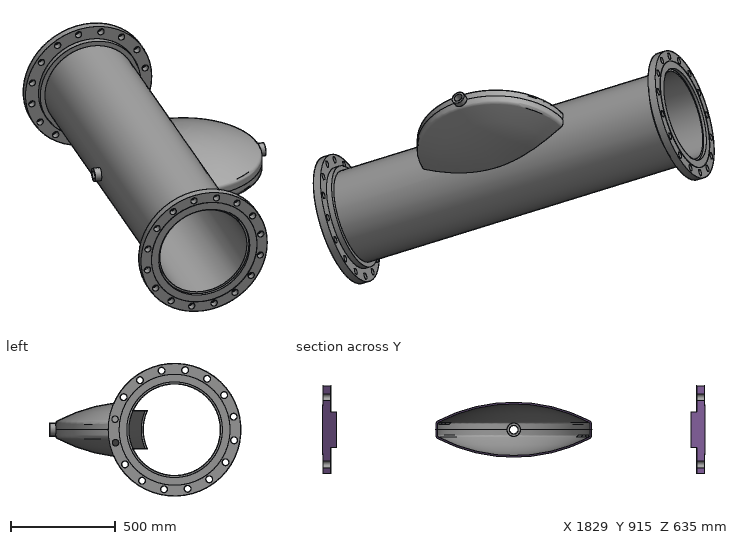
import cadquery as cq
import math

overall_length = 1829.0
overall_depth = 915.0
pipe_radius = 229.0
wall = 10.0
pipe_inset = 15.0

flange_diameter = 635.0
flange_thickness = 40.0
raised_face_radius = 265.0
raised_face_height = 2.0
hub_radius = 252.0
hub_end = 68.0
bolt_count = 16
bolt_circle_radius = 289.0
bolt_hole_radius = 15.5
bolt_pattern_turn = 1.2

chamber_y = 192.0
chamber_radius = 377.0
skirt_height = 25.0
knuckle_radius = 20.0
crown_radius = 786.0

deflector_length = 399.0
deflector_width = 183.0
deflector_tilt = 10.0

socket_diameter = 64.0
socket_bore_radius = 20.0
pipe_socket_tip = 260.0

flange_radius = flange_diameter / 2
socket_radius = socket_diameter / 2
chamber_socket_tip = overall_depth - flange_radius
pipe_bore_radius = pipe_radius - wall
half_length = overall_length / 2


def x_cylinder(radius, start, end):
    """Cylinder about the X axis between two X positions."""
    return cq.Workplane("YZ", origin=(start, 0, 0)).circle(radius).extrude(end - start)


def y_cylinder(radius, start, end):
    """Cylinder about the Y axis between two Y positions."""
    return cq.Workplane("XZ", origin=(0, start, 0)).circle(radius).extrude(start - end)


def make_flange():
    """Flange at the -X end, with its raised face outward and its hub inward."""
    face = -half_length
    disc_front = face + raised_face_height
    flange = x_cylinder(flange_radius, disc_front, face + flange_thickness)
    flange = flange.union(x_cylinder(raised_face_radius, face, disc_front))
    flange = flange.union(x_cylinder(hub_radius, face + flange_thickness, face + hub_end))
    flange = flange.cut(x_cylinder(pipe_radius, face, face + hub_end))
    first_hole = 180 / bolt_count - bolt_pattern_turn
    bolt_holes = (
        cq.Workplane("YZ", origin=(face, 0, 0))
        .polarArray(bolt_circle_radius, first_hole, 360, bolt_count)
        .circle(bolt_hole_radius)
        .extrude(flange_thickness)
    )
    return flange.cut(bolt_holes)


def make_socket(root, tip):
    """Bored socket along Y from its root, level with the inside of the wall, to its open tip."""
    return y_cylinder(socket_radius, root, tip).cut(y_cylinder(socket_bore_radius, root, tip))


def window_block():
    """Block through the +Y wall of the pipe, covering the window and nothing of the far wall."""
    return cq.Workplane("XY").box(
        deflector_length, pipe_radius, deflector_width, centered=(True, False, True)
    )


def make_deflector():
    """Strip of pipe wall swung inward about its +X outer edge, so that it opens toward -X."""
    half = deflector_length / 2
    tube = x_cylinder(pipe_radius, -half, half).cut(x_cylinder(pipe_bore_radius, -half, half))
    hinge_start = (half, pipe_radius, 0)
    hinge_end = (half, pipe_radius, 1)
    return tube.intersect(window_block()).rotate(hinge_start, hinge_end, deflector_tilt)


def make_pipe(deflector, socket_hole):
    """Tube with the chamber window, a seat for the deflector root and the socket hole."""
    end = half_length - pipe_inset
    pipe = x_cylinder(pipe_radius, -end, end).cut(x_cylinder(pipe_bore_radius, -end, end))
    return pipe.cut(window_block()).cut(deflector).cut(socket_hole)


def dished_solid(inset):
    """Upper half of the chamber shape, offset inward by the inset."""
    rim = chamber_radius - inset
    knuckle = knuckle_radius - inset
    crown = crown_radius - inset
    knuckle_center = chamber_radius - knuckle_radius
    center_distance = crown_radius - knuckle_radius
    crown_angle = math.asin(knuckle_center / center_distance)
    crown_center_z = skirt_height - center_distance * math.cos(crown_angle)
    knuckle_mid_angle = (math.pi / 2 + crown_angle) / 2

    def on_arc(center_r, center_z, radius, angle):
        """Point on an arc, with the angle measured from +Z."""
        return (center_r + radius * math.sin(angle), center_z + radius * math.cos(angle))

    profile = (
        cq.Workplane("YZ", origin=(0, chamber_y, 0))
        .lineTo(rim, 0)
        .lineTo(rim, skirt_height)
        .threePointArc(
            on_arc(knuckle_center, skirt_height, knuckle, knuckle_mid_angle),
            on_arc(0, crown_center_z, crown, crown_angle),
        )
        .threePointArc(
            on_arc(0, crown_center_z, crown, crown_angle / 2),
            (0, crown_center_z + crown),
        )
        .close()
    )
    return profile.revolve(360, (0, 0), (0, 1))


def make_upper_half(socket_hole):
    """Hollow upper half of the chamber, less the part of the lens that lies inside the pipe."""
    shell = dished_solid(0).cut(dished_solid(wall))
    shell = shell.cut(x_cylinder(pipe_radius, -half_length, half_length))
    return shell.cut(socket_hole)


pipe_socket_root = -pipe_bore_radius
chamber_socket_root = chamber_y + chamber_radius - wall
socket_ends = [
    (pipe_socket_root, -pipe_socket_tip),
    (chamber_socket_root, chamber_socket_tip),
]
sockets = [make_socket(root, tip).solids().val() for root, tip in socket_ends]

pipe_socket_hole = y_cylinder(socket_radius, pipe_socket_root + wall, -pipe_socket_tip)
chamber_socket_hole = y_cylinder(socket_radius, chamber_socket_root - wall, chamber_socket_tip)

deflector = make_deflector()
pipe = make_pipe(deflector, pipe_socket_hole)

upper_half = make_upper_half(chamber_socket_hole)
chamber_halves = [half.solids().val() for half in (upper_half, upper_half.mirror("XY"))]

left_flange = make_flange()
flanges = [flange.solids().val() for flange in (left_flange, left_flange.mirror("YZ"))]

result = cq.Compound.makeCompound([
    pipe.solids().val(),
    deflector.solids().val(),
    *flanges,
    *chamber_halves,
    *sockets,
])